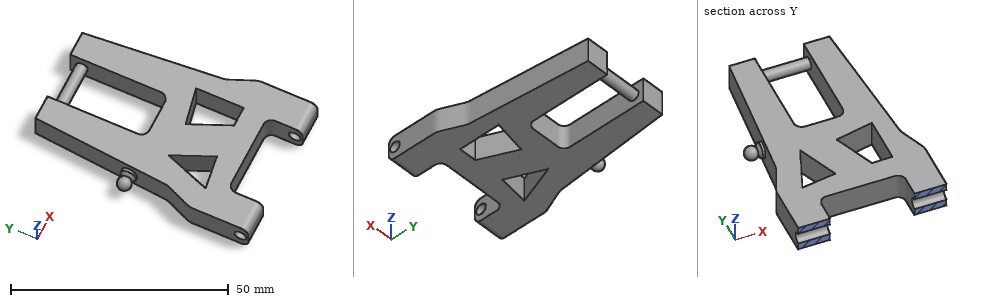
import cadquery as cq

THICKNESS = 7.0
LENGTH = 57.0
HINGE_END_HALF_WIDTH = 18.5
SHOULDER_Y = 15.0
KNEE_HALF_WIDTH = 15.5
KNEE_Y = 22.0
FORK_END_HALF_WIDTH = 12.5
BEND_RADIUS = 5.0
BEND_SELECTION_MARGIN = 1.0

HINGE_SLOT_WIDTH = 21.0
HINGE_SLOT_DEPTH = 9.0
FORK_SLOT_WIDTH = 12.2
FORK_SLOT_DEPTH = 25.0
SLOT_CORNER_RADIUS = 2.0

LUG_ROUND_RADIUS = 2.0
HINGE_HOLE_DIAMETER = 3.0
HINGE_HOLE_Y = 2.0
PIN_DIAMETER = 3.0
PIN_END_DISTANCE = 3.0
PIN_Y = LENGTH - PIN_END_DISTANCE
PIN_EMBED = 1.0

WINDOW_BASE_Y = SHOULDER_Y
TRIANGLE_WINDOW = [(-8.2, 25.2), (-12.4, 13.8), (-3.7, WINDOW_BASE_Y)]
FOUR_SIDED_WINDOW = [
    (0.9, 25.2),
    (HINGE_SLOT_WIDTH / 2, 27.1),
    (HINGE_SLOT_WIDTH / 2, WINDOW_BASE_Y),
    (5.4, WINDOW_BASE_Y),
]

BALL_RADIUS = 1.75
BALL_CENTER_X = -17.5
STUD_Y = LENGTH - FORK_SLOT_DEPTH
NECK_X = -16.2
COLLAR_X = -15.4
COLLAR_RADIUS = 2.0
STUD_ROOT_X = -14.0


def make_plate():
    """Tapered plate with rounded bends at the knees and shoulders."""
    right_side = [
        (HINGE_END_HALF_WIDTH, 0),
        (HINGE_END_HALF_WIDTH, SHOULDER_Y),
        (KNEE_HALF_WIDTH, KNEE_Y),
        (FORK_END_HALF_WIDTH, LENGTH),
    ]
    left_side = [(-x, y) for x, y in reversed(right_side)]
    plate = (
        cq.Workplane("XY")
        .polyline(right_side + left_side)
        .close()
        .extrude(THICKNESS / 2, both=True)
    )
    bend_band = cq.selectors.BoxSelector(
        (-LENGTH, SHOULDER_Y - BEND_SELECTION_MARGIN, -THICKNESS),
        (LENGTH, KNEE_Y + BEND_SELECTION_MARGIN, THICKNESS),
    )
    plate = plate.edges("|Z").edges(bend_band).fillet(BEND_RADIUS)
    return plate.faces("<Y").edges("|X").fillet(LUG_ROUND_RADIUS)


def make_slot(width, depth, open_end_y, inner_side):
    """Cutter for an open-ended slot; inner_side selects its closed end."""
    direction = 1 if inner_side == ">Y" else -1
    return (
        cq.Workplane("XY")
        .center(0, open_end_y + direction * depth / 2)
        .rect(width, depth)
        .extrude(THICKNESS / 2, both=True)
        .faces(inner_side)
        .edges("|Z")
        .fillet(SLOT_CORNER_RADIUS)
    )


def make_window(corners):
    """Straight-sided cutter through the full plate thickness."""
    return cq.Workplane("XY").polyline(corners).close().extrude(THICKNESS / 2, both=True)


def make_cross_rod(diameter, y, length):
    """Cylinder along X, centred across the plate at mid-thickness."""
    return cq.Workplane("YZ").center(y, 0).circle(diameter / 2).extrude(length / 2, both=True)


def make_ball_stud():
    """Ball, flared neck and collar revolved about a line parallel to X."""
    neck_radius = (BALL_RADIUS**2 - (NECK_X - BALL_CENTER_X) ** 2) ** 0.5
    return (
        cq.Workplane("XY", origin=(0, STUD_Y, 0))
        .moveTo(BALL_CENTER_X - BALL_RADIUS, 0)
        .threePointArc((BALL_CENTER_X, BALL_RADIUS), (NECK_X, neck_radius))
        .lineTo(COLLAR_X, COLLAR_RADIUS)
        .lineTo(STUD_ROOT_X, COLLAR_RADIUS)
        .lineTo(STUD_ROOT_X, 0)
        .close()
        .revolve(360, (0, 0, 0), (1, 0, 0))
    )


result = (
    make_plate()
    .cut(make_slot(HINGE_SLOT_WIDTH, HINGE_SLOT_DEPTH, 0, ">Y"))
    .cut(make_slot(FORK_SLOT_WIDTH, FORK_SLOT_DEPTH, LENGTH, "<Y"))
    .cut(make_window(TRIANGLE_WINDOW))
    .cut(make_window(FOUR_SIDED_WINDOW))
    .cut(make_cross_rod(HINGE_HOLE_DIAMETER, HINGE_HOLE_Y, 2 * HINGE_END_HALF_WIDTH))
    .union(make_cross_rod(PIN_DIAMETER, PIN_Y, FORK_SLOT_WIDTH + 2 * PIN_EMBED))
    .union(make_ball_stud())
)